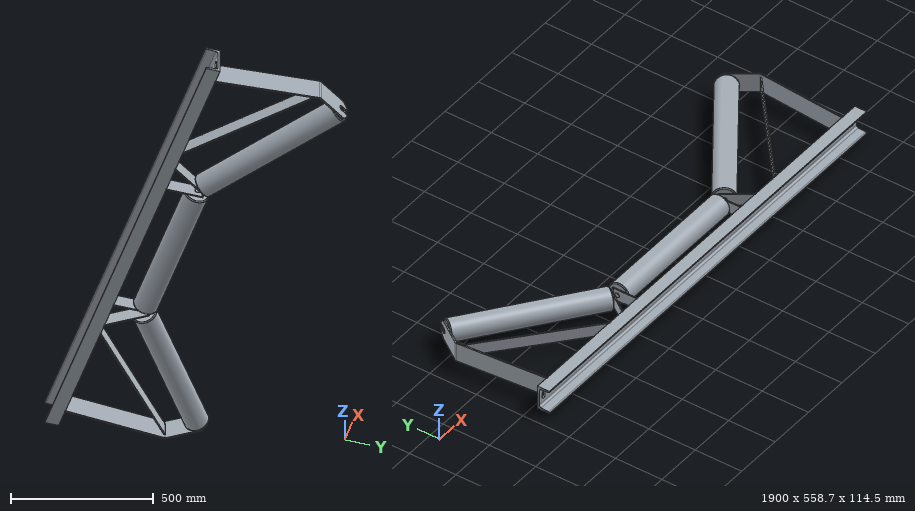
import cadquery as cq
import math

CHANNEL_LENGTH = 1900.0
CHANNEL_HEIGHT = 100.0
FLANGE_DEPTH = 51.0
WEB_THICKNESS = 8.0
FLANGE_THICKNESS = 8.5
FLANGE_TAPER = 0.08
ROOT_RADIUS = 8.5
TOE_RADIUS = 4.2
MOUNT_SLOT_WIDTH = 17.0
MOUNT_SLOT_HEIGHT = 35.0
MOUNT_SLOT_FROM_END = 27.0

ROLLER_DIAMETER = 90.0
ROLLER_LENGTH = 606.0
ROLLER_CHAMFER = 4.0
SHAFT_DIAMETER = 19.0
CENTER_ROLLER_Y = 167.0
WING_CENTER_X = 589.0
WING_CENTER_Y = 350.0
TROUGH_ANGLE = 35.0
WING_TILT = 1.8

OUTER_THICKNESS = 6.0
INNER_THICKNESS = 5.0
BRACE_THICKNESS = 5.0
OUTER_HEIGHT = 80.0
NARROW_HEIGHT = 50.0
ROLLER_GAP = 4.8
BEND_RADIUS = 5.0
OUTER_FOOT_X = 884.0
OUTER_BEND_Y = 430.0
OUTER_TIP_PAST_SHAFT = 35.0
OUTER_TIP_CHAMFER = 23.0
INNER_TOP_Y = 188.0
BRACE_FOOT_X = 475.0

HALF_ROLLER = ROLLER_LENGTH / 2
OUTER_SEAT_DISTANCE = HALF_ROLLER + ROLLER_GAP + OUTER_THICKNESS / 2
INNER_SEAT_DISTANCE = HALF_ROLLER + ROLLER_GAP + INNER_THICKNESS / 2
SHAFT_OVERHANG = ROLLER_GAP + OUTER_THICKNESS
SHAFT_LENGTH = ROLLER_LENGTH + 2 * SHAFT_OVERHANG
AXIS_X = math.cos(math.radians(TROUGH_ANGLE))
AXIS_Y = math.sin(math.radians(TROUGH_ANGLE))
WING_SLOPE = math.tan(math.radians(WING_TILT))
WING_Z = -OUTER_SEAT_DISTANCE * WING_SLOPE
CENTER_ROLLER_Z = WING_Z - INNER_SEAT_DISTANCE * WING_SLOPE


def point_along(distance):
    """Point at a distance from the middle of the wing roller, measured along its axis and outwards."""
    return (-WING_CENTER_X - distance * AXIS_X, WING_CENTER_Y + distance * AXIS_Y)


OUTER_SEAT = point_along(OUTER_SEAT_DISTANCE)
INNER_SEAT = point_along(-INNER_SEAT_DISTANCE)


def point_across(seat, distance):
    """Point at a distance from a wing shaft seat, measured square to the wing axis and outwards."""
    return (seat[0] + distance * AXIS_Y, seat[1] + distance * AXIS_X)


def point_across_at_y(seat, y):
    """Point at the given y on the line through a wing shaft seat square to the wing axis."""
    return point_across(seat, (y - seat[1]) / AXIS_X)


OUTER_BEND = point_across_at_y(OUTER_SEAT, OUTER_BEND_Y)
OUTER_TIP = point_across(OUTER_SEAT, OUTER_TIP_PAST_SHAFT)

WING_FRAME = cq.Plane(
    origin=(-WING_CENTER_X, WING_CENTER_Y, WING_Z),
    xDir=(-AXIS_Y, -AXIS_X, 0),
    normal=(-AXIS_X, AXIS_Y, WING_SLOPE),
)
CENTER_FRAME = cq.Plane(
    origin=(0, CENTER_ROLLER_Y, CENTER_ROLLER_Z), xDir=(0, 0, 1), normal=(1, 0, 0)
)


def make_channel():
    top = CHANNEL_HEIGHT / 2
    taper = FLANGE_TAPER * FLANGE_DEPTH / 2
    toe_z = top - FLANGE_THICKNESS + taper
    root_z = top - FLANGE_THICKNESS - taper + FLANGE_TAPER * WEB_THICKNESS
    web_y = FLANGE_DEPTH - WEB_THICKNESS
    outline = [
        (FLANGE_DEPTH, top), (0, top), (0, toe_z), (web_y, root_z),
        (web_y, -root_z), (0, -toe_z), (0, -top), (FLANGE_DEPTH, -top),
    ]
    channel = cq.Workplane("YZ").polyline(outline).close().extrude(CHANNEL_LENGTH / 2, both=True)
    for y, z, radius in ((web_y, root_z, ROOT_RADIUS), (0, toe_z, TOE_RADIUS)):
        for side in (1, -1):
            channel = channel.edges(cq.NearestToPointSelector((0, y, side * z))).fillet(radius)
    slot_x = CHANNEL_LENGTH / 2 - MOUNT_SLOT_FROM_END
    slots = (
        cq.Workplane("XZ")
        .pushPoints([(-slot_x, 0), (slot_x, 0)])
        .slot2D(MOUNT_SLOT_HEIGHT, MOUNT_SLOT_WIDTH, 90)
        .extrude(-FLANGE_DEPTH)
    )
    return channel.cut(slots)


def make_rod(frame, diameter, length):
    """Round rod centred on a frame and running along its axis."""
    return cq.Workplane(frame).workplane(offset=-length / 2).circle(diameter / 2).extrude(length)


def make_shaft(frame):
    """Shaft of one roller, which is also the cutter for its seats in the supports."""
    return make_rod(frame, SHAFT_DIAMETER, SHAFT_LENGTH)


def make_roller(frame):
    shell = make_rod(frame, ROLLER_DIAMETER, ROLLER_LENGTH).edges("%CIRCLE").chamfer(ROLLER_CHAMFER)
    return shell.union(make_shaft(frame))


def bent_bar(points, thickness, height, middle_z=0):
    """Upright flat bar whose middle plane follows the points, with sharp corners at its bends."""
    headings = [
        math.atan2(end[1] - start[1], end[0] - start[0]) for start, end in zip(points, points[1:])
    ]
    headings = [headings[0], *headings, headings[-1]]
    left, right = [], []
    for (x, y), before, after in zip(points, headings, headings[1:]):
        normal = (before + after) / 2 + math.pi / 2
        reach = thickness / 2 / math.cos((after - before) / 2)
        left.append((x + reach * math.cos(normal), y + reach * math.sin(normal)))
        right.append((x - reach * math.cos(normal), y - reach * math.sin(normal)))
    base = cq.Workplane("XY").workplane(offset=middle_z - height / 2)
    return base.polyline(left + right[::-1]).close().extrude(height)


def trim_to_web(bar):
    """Cut a bar off flush with the channel's back face."""
    behind = cq.Workplane("XY").box(
        CHANNEL_LENGTH, FLANGE_DEPTH, CHANNEL_HEIGHT, centered=(True, False, True)
    )
    return bar.cut(behind)


def point_at_y(start, end, y):
    """Point at the given y on the line through start and end."""
    share = (y - start[1]) / (end[1] - start[1])
    return (start[0] + share * (end[0] - start[0]), y)


def make_outer_support():
    foot = point_at_y(OUTER_BEND, (-OUTER_FOOT_X, FLANGE_DEPTH), FLANGE_DEPTH - OUTER_THICKNESS)
    support = trim_to_web(bent_bar([foot, OUTER_BEND, OUTER_TIP], OUTER_THICKNESS, OUTER_HEIGHT))
    for side, radius in ((1, BEND_RADIUS), (-1, BEND_RADIUS + OUTER_THICKNESS)):
        corner = (OUTER_BEND[0] + side * OUTER_THICKNESS / 2, OUTER_BEND[1], 0)
        support = support.edges("|Z").edges(cq.NearestToPointSelector(corner)).fillet(radius)
    tip_face = support.faces(cq.NearestToPointSelector((*OUTER_TIP, 0)))
    support = tip_face.edges("<Z or >Z").chamfer(OUTER_TIP_CHAMFER)
    slot = (
        cq.Workplane(WING_FRAME)
        .center(-OUTER_TIP_PAST_SHAFT, 0)
        .rect(2 * OUTER_TIP_PAST_SHAFT, SHAFT_DIAMETER)
        .extrude(SHAFT_LENGTH)
    )
    return support.cut(slot).cut(make_shaft(WING_FRAME))


def make_inner_support():
    top_y = INNER_TOP_Y - INNER_THICKNESS / 2
    foot_y = FLANGE_DEPTH - INNER_THICKNESS
    points = [
        point_across_at_y(INNER_SEAT, foot_y),
        point_across_at_y(INNER_SEAT, top_y),
        (-INNER_SEAT_DISTANCE, top_y),
        (-INNER_SEAT_DISTANCE, foot_y),
    ]
    support = trim_to_web(bent_bar(points, INNER_THICKNESS, NARROW_HEIGHT, CENTER_ROLLER_Z))
    return support.cut(make_shaft(WING_FRAME)).cut(make_shaft(CENTER_FRAME))


def make_brace(support):
    foot = point_at_y(OUTER_BEND, (-BRACE_FOOT_X, FLANGE_DEPTH), FLANGE_DEPTH - BRACE_THICKNESS)
    brace = bent_bar([OUTER_BEND, foot], BRACE_THICKNESS, NARROW_HEIGHT)
    return trim_to_web(brace).cut(support)


channel = make_channel()
center_roller = make_roller(CENTER_FRAME)
wing_roller = make_roller(WING_FRAME)
outer_support = make_outer_support()
inner_support = make_inner_support()
brace = make_brace(outer_support)

bodies = [channel.val(), center_roller.val()]
for body in (wing_roller, outer_support, inner_support, brace):
    bodies.append(body.val())
    bodies.append(body.mirror("YZ").val())

result = cq.Compound.makeCompound(bodies)